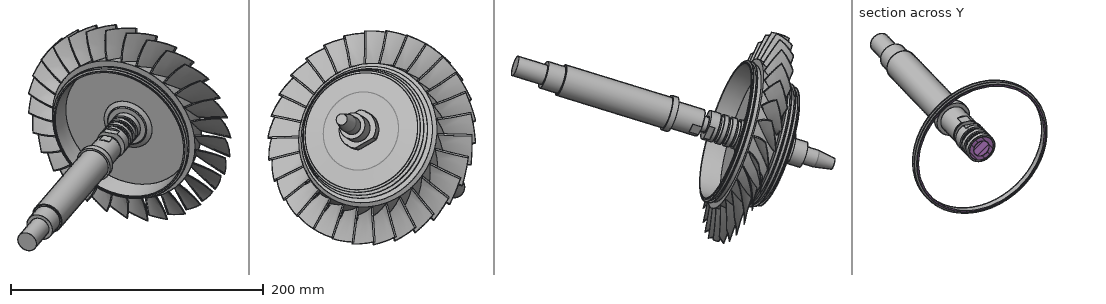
import cadquery as cq
import math


shaft_length = 270.0
front_end_radius = 8.0
journal_radius = 11.0
journal_y = 24.3
barrel_radius = 12.7
barrel_y = 38.5
shoulder_chamfer = 0.5
collar_radius = 14.3
collar_front_y = 128.8
collar_back_y = 133.6
neck_radius = 6.2
neck_y = 157.5
rod_radius = 7.0
taper_y = 255.5
tail_radius = 4.5
wrench_half_width = 10.3
shaft_flat_y = 149.3

sleeve_front_y = 162.3
sleeve_radius = 12.0
sleeve_flat_length = 4.9
sleeve_turn = -4.0
groove_count = 3
first_groove_y = 170.5
groove_pitch = 7.0
groove_width = 3.2
groove_wall_radius = 10.5
groove_floor_radius = 10.0

wheel_front_y = 178.7
wheel_back_y = 223.3
dish_floor_radius = 54.0
dish_mouth_radius = 55.5
dish_floor_y = 195.5
hub_base_radius = 20.8
hub_top_radius = 17.0
hub_top_y = 192.8
hub_chamfer = 0.8
front_drum_radius = 56.7
front_fin_radius = 58.3
front_fin_ys = (179.8, 183.0)
rim_front_y = 186.8
rim_front_radius = 61.8
rim_back_y = 208.0
rim_back_radius = 58.0
shoulder_y = 210.3
shoulder_radius = 55.0
back_drum_radii = (50.2, 49.0, 47.2)
back_fin_radii = (52.5, 50.8, 49.1)
back_fin_ys = (214.5, 218.5, 222.2)
fin_base_width = 1.4
fin_tip_width = 0.5
back_face_radius = 31.5
back_face_y = 224.5

blade_count = 30
blade_tip_radius = 85.72
blade_stations = (
    (55.4, -2.0, 16.0, 186.3, 208.0, 1.5, 0.0),
    (71.0, -2.0, 15.8, 189.8, 205.0, 1.0, 0.5),
    (86.5, 0.0, 15.5, 193.0, 203.0, 0.5, 1.0),
)
blade_overhang = 1.4
envelope_inner_radius = 56.7
blade_front_y = 188.0
envelope_back_mid = (71.0, 204.5)
blade_back_y = 206.5
tip_front_y = 193.0
tip_back_y = 203.0

nut_back_y = 244.5
nut_radius = 10.5
flange_radius = 15.5
flange_back_y = 232.5
flange_chamfer = 0.8
flange_half_width = 13.0
flange_turn = 26.0


def turned(points):
    """Solid of revolution about Y from (radius, Y) points."""
    return cq.Workplane("XY").polyline(points).close().revolve(360, (0, 0, 0), (0, 1, 0))


def flatted(body, half_width, radius, y0, y1, turn):
    """Cut two opposite flats at half_width from the axis, between y0 and y1."""
    depth = 2 * (radius - half_width)
    for side in (0, 180):
        cutter = (
            cq.Workplane("XY")
            .box(4 * radius, y1 - y0, depth)
            .translate((0, (y0 + y1) / 2, half_width + depth / 2))
            .rotate((0, 0, 0), (0, 1, 0), turn + side)
        )
        body = body.cut(cutter)
    return body


def make_shaft():
    body = turned([
        (0, 0),
        (front_end_radius, 0),
        (front_end_radius, journal_y),
        (journal_radius, journal_y),
        (journal_radius, barrel_y),
        (barrel_radius - shoulder_chamfer, barrel_y),
        (barrel_radius, barrel_y + shoulder_chamfer),
        (barrel_radius, collar_front_y),
        (collar_radius, collar_front_y),
        (collar_radius, collar_back_y),
        (journal_radius, collar_back_y),
        (journal_radius, neck_y - shoulder_chamfer),
        (journal_radius - shoulder_chamfer, neck_y),
        (neck_radius, neck_y),
        (neck_radius, sleeve_front_y),
        (rod_radius, sleeve_front_y),
        (rod_radius, taper_y),
        (tail_radius, shaft_length),
        (0, shaft_length),
    ])
    return flatted(body, wrench_half_width, journal_radius, shaft_flat_y, neck_y, 0)


def make_sleeve():
    points = [(rod_radius, sleeve_front_y), (sleeve_radius, sleeve_front_y)]
    for i in range(groove_count):
        y0 = first_groove_y + i * groove_pitch
        y1 = y0 + groove_width
        points += [
            (sleeve_radius, y0),
            (groove_wall_radius, y0),
            (groove_floor_radius, (y0 + y1) / 2),
            (groove_wall_radius, y1),
            (sleeve_radius, y1),
        ]
    points += [(sleeve_radius, hub_top_y), (rod_radius, hub_top_y)]
    flat_end_y = sleeve_front_y + sleeve_flat_length
    return flatted(turned(points), wrench_half_width, sleeve_radius, sleeve_front_y, flat_end_y, sleeve_turn)


def fin(y, front_radius, tip_radius, back_radius):
    """Outline of one tapered seal fin, front to back."""
    return [
        (front_radius, y - fin_base_width / 2),
        (tip_radius, y - fin_tip_width / 2),
        (tip_radius, y + fin_tip_width / 2),
        (back_radius, y + fin_base_width / 2),
    ]


def make_disc():
    points = [
        (rod_radius, hub_top_y),
        (hub_top_radius - hub_chamfer, hub_top_y),
        (hub_top_radius, hub_top_y + hub_chamfer),
        (hub_base_radius, dish_floor_y),
        (dish_floor_radius, dish_floor_y),
        (dish_mouth_radius, wheel_front_y),
        (front_drum_radius, wheel_front_y),
    ]
    for y in front_fin_ys:
        points += fin(y, front_drum_radius, front_fin_radius, front_drum_radius)
    points += [
        (front_drum_radius, rim_front_y),
        (rim_front_radius, rim_front_y),
        (rim_back_radius, rim_back_y),
        (shoulder_radius, shoulder_y),
        (back_drum_radii[0], shoulder_y),
    ]
    drums_behind = back_drum_radii[1:] + back_drum_radii[-1:]
    for y, drum, tip, behind in zip(back_fin_ys, back_drum_radii, back_fin_radii, drums_behind):
        points += fin(y, drum, tip, behind)
    points += [
        (back_drum_radii[-1], wheel_back_y),
        (back_face_radius, back_face_y),
        (rod_radius, back_face_y),
    ]
    return turned(points)


def blade_section(radius, front_angle, back_angle, front_y, back_y, thickness, bow):
    """Thin bowed lens across the blade, in the plane Z = radius."""
    front_x = radius * math.tan(math.radians(front_angle))
    back_x = radius * math.tan(math.radians(back_angle))
    chord = cq.Vector(back_x - front_x, back_y - front_y, 0)
    along = chord.normalized()
    across = cq.Vector(-along.y, along.x, 0)
    start = cq.Vector(front_x, front_y, radius) - along * blade_overhang
    end = cq.Vector(back_x, back_y, radius) + along * blade_overhang
    middle = (start + end) * 0.5
    upper = middle + across * (bow + thickness / 2)
    lower = middle + across * (bow - thickness / 2)
    end_half = across * (thickness / 4)
    return cq.Wire.assembleEdges([
        cq.Edge.makeThreePointArc(start + end_half, upper, end + end_half),
        cq.Edge.makeLine(end + end_half, end - end_half),
        cq.Edge.makeThreePointArc(end - end_half, lower, start - end_half),
        cq.Edge.makeLine(start - end_half, start + end_half),
    ])


def make_blade():
    raw = cq.Solid.makeLoft([blade_section(*station) for station in blade_stations])
    envelope = turned([
        (envelope_inner_radius, blade_front_y),
        (rim_front_radius, blade_front_y),
        (blade_tip_radius, tip_front_y),
        (blade_tip_radius, tip_back_y),
        envelope_back_mid,
        (rim_back_radius, blade_back_y),
        (envelope_inner_radius, blade_back_y),
    ])
    return cq.Workplane(raw).intersect(envelope).val()


def make_wheel():
    blade = make_blade()
    pitch = 360 / blade_count
    blades = [
        blade.rotate(cq.Vector(0, 0, 0), cq.Vector(0, 1, 0), i * pitch)
        for i in range(blade_count)
    ]
    wheel = make_disc().val().fuse(*blades)
    return cq.Workplane(wheel)


def make_nut():
    body = turned([
        (rod_radius, back_face_y),
        (flange_radius - flange_chamfer, back_face_y),
        (flange_radius, back_face_y + flange_chamfer),
        (flange_radius, flange_back_y),
        (nut_radius, flange_back_y),
        (nut_radius, nut_back_y),
        (rod_radius, nut_back_y),
    ])
    return flatted(body, flange_half_width, flange_radius, back_face_y, flange_back_y, flange_turn)


shaft = make_shaft()
sleeve = make_sleeve()
wheel = make_wheel()
nut = make_nut()

result = cq.Compound.makeCompound([
    *shaft.vals(),
    *sleeve.vals(),
    *wheel.solids().vals(),
    *nut.vals(),
])